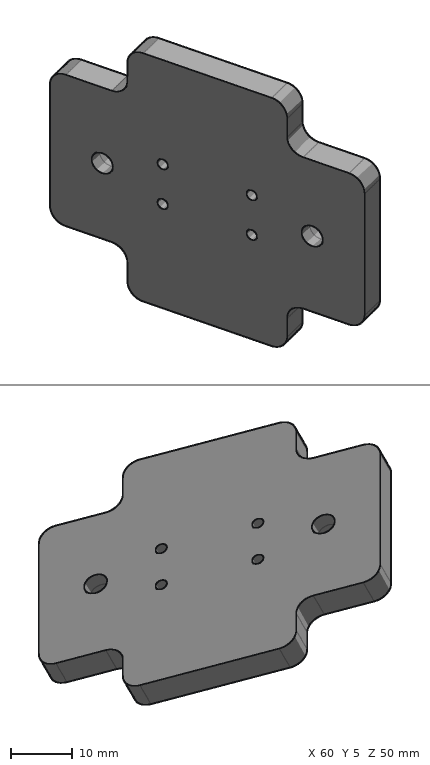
import cadquery as cq

length = 60.0
height = 50.0
thickness = 5.0

arm_width = 30.5
corner_radius = 3.0

mount_hole_diameter = 4.0
mount_hole_spacing = 40.0
small_hole_diameter = 2.0
small_hole_spacing_x = 17.0
small_hole_spacing_z = 8.0


def bar(size_x, size_z):
    """Rectangular bar centred on the origin."""
    return cq.Workplane("XY").box(size_x, thickness, size_z)


def through_holes(points, diameter):
    """Cylinders along Y that span the full thickness."""
    return (
        cq.Workplane("XZ")
        .pushPoints(points)
        .circle(diameter / 2)
        .extrude(thickness, both=True)
    )


cross = bar(length, arm_width).union(bar(arm_width, height))
plate = cross.edges("|Y").fillet(corner_radius)

mount_points = [(side * mount_hole_spacing / 2, 0) for side in (-1, 1)]

small_points = [
    (side_x * small_hole_spacing_x / 2, side_z * small_hole_spacing_z / 2)
    for side_x in (-1, 1)
    for side_z in (-1, 1)
]

result = (
    plate
    .cut(through_holes(mount_points, mount_hole_diameter))
    .cut(through_holes(small_points, small_hole_diameter))
)